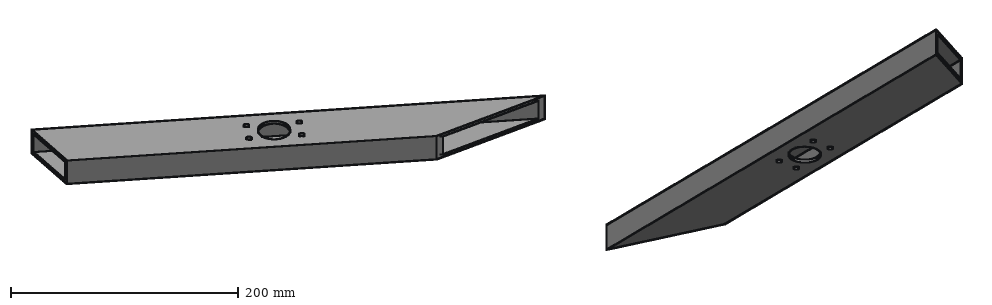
import cadquery as cq
import math

span_x = 203.0
span_y = 406.5
height = 25.0
end_width = 57.0
wall = 3.0

hole_group_y = 178.0
bore_diameter = 28.5
bolt_diameter = 5.0
bolt_spacing_along = 46.7
bolt_spacing_across = 19.5

tube_angle = math.degrees(math.atan2(span_y, span_x))
slope = span_y / span_x
wall_in_x = wall / math.sin(math.radians(tube_angle))


def mitred_bar(side_inset, bottom, bar_height):
    """Diagonal bar cut square to Y at one end and square to X at the other."""
    left = side_inset
    right = end_width - side_inset
    outline = [
        (left, 0),
        (right, 0),
        (span_x, (span_x - right) * slope),
        (span_x, (span_x - left) * slope),
    ]
    return cq.Workplane("XY").workplane(offset=bottom).polyline(outline).close().extrude(bar_height)


def hole_group():
    """Central bore and four bolt holes, aligned with the tube and passing right through."""
    bore = cq.Workplane("XY").circle(bore_diameter / 2).extrude(height)
    bolts = (
        cq.Workplane("XY")
        .rarray(bolt_spacing_along, bolt_spacing_across, 2, 2)
        .circle(bolt_diameter / 2)
        .extrude(height)
    )
    centre_x = end_width / 2 + hole_group_y / slope
    return bore.union(bolts).rotate((0, 0, 0), (0, 0, 1), tube_angle).translate((centre_x, hole_group_y, 0))


outer = mitred_bar(0, 0, height)
cavity = mitred_bar(wall_in_x, wall, height - 2 * wall)
tube = outer.cut(cavity).cut(hole_group())

result = tube.translate((-span_x / 2, -span_y / 2, -height / 2))